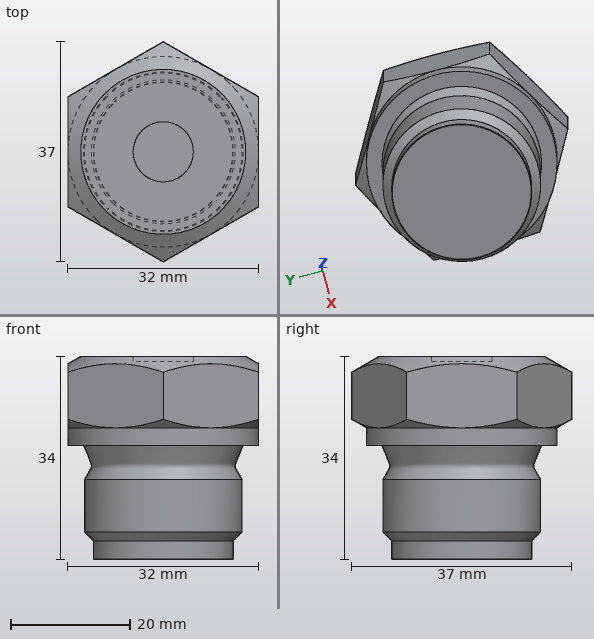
import cadquery as cq
import math

across_corners = 36.95
corner_radius = across_corners / 2
flat_radius = corner_radius * math.cos(math.radians(30))
head_chamfer_slope = math.tan(math.radians(30))
top_face_radius = 27.68 / 2
total_height = 34.05
head_height = 12.0
head_bottom = total_height - head_height

collar_height = 3.0
collar_bottom = head_bottom - collar_height

spigot_radius = 23.5 / 2
spigot_edge_chamfer = 0.1
spigot_top = 3.1
body_radius = 26.45 / 2
body_bottom = spigot_top + body_radius - spigot_radius
body_top = 13.4

waist_radius = 12.1
waist_arc_radius = 1.0
lower_cone_angle = math.radians(30)
upper_cone_angle = math.radians(22)

recess_diameter = 10.1
recess_depth = 0.85


def make_head():
    """Hexagon with its corners turned off by a cone at each end."""
    hexagon = (
        cq.Workplane("XY", origin=(0, 0, head_bottom))
        .polygon(6, across_corners)
        .extrude(head_height)
        .rotate((0, 0, 0), (0, 0, 1), 30)
    )
    lower_rise = (corner_radius - flat_radius) * head_chamfer_slope
    upper_drop = (corner_radius - top_face_radius) * head_chamfer_slope
    turned_envelope = (
        cq.Workplane("XZ")
        .moveTo(0, head_bottom)
        .lineTo(flat_radius, head_bottom)
        .lineTo(corner_radius, head_bottom + lower_rise)
        .lineTo(corner_radius, total_height - upper_drop)
        .lineTo(top_face_radius, total_height)
        .lineTo(0, total_height)
        .close()
        .revolve(360, (0, 0), (0, 1))
    )
    return hexagon.intersect(turned_envelope)


def make_shank():
    """Collar, undercut, body and spigot turned as one profile."""
    arc_center_radius = waist_radius + waist_arc_radius
    arc_low_radius = arc_center_radius - waist_arc_radius * math.cos(lower_cone_angle)
    arc_high_radius = arc_center_radius - waist_arc_radius * math.cos(upper_cone_angle)
    arc_low_z = body_top + (body_radius - arc_low_radius) / math.tan(lower_cone_angle)
    waist_z = arc_low_z + waist_arc_radius * math.sin(lower_cone_angle)
    arc_high_z = waist_z + waist_arc_radius * math.sin(upper_cone_angle)
    cone_top_radius = arc_high_radius + (collar_bottom - arc_high_z) * math.tan(upper_cone_angle)
    return (
        cq.Workplane("XZ")
        .moveTo(0, 0)
        .lineTo(spigot_radius - spigot_edge_chamfer, 0)
        .lineTo(spigot_radius, spigot_edge_chamfer)
        .lineTo(spigot_radius, spigot_top)
        .lineTo(body_radius, body_bottom)
        .lineTo(body_radius, body_top)
        .lineTo(arc_low_radius, arc_low_z)
        .threePointArc((waist_radius, waist_z), (arc_high_radius, arc_high_z))
        .lineTo(cone_top_radius, collar_bottom)
        .lineTo(flat_radius, collar_bottom)
        .lineTo(flat_radius, head_bottom)
        .lineTo(0, head_bottom)
        .close()
        .revolve(360, (0, 0), (0, 1))
    )


def make_recess():
    """Round cutter reaching down from the top face."""
    return (
        cq.Workplane("XY", origin=(0, 0, total_height - recess_depth))
        .circle(recess_diameter / 2)
        .extrude(recess_depth)
    )


result = make_head().union(make_shank()).cut(make_recess())